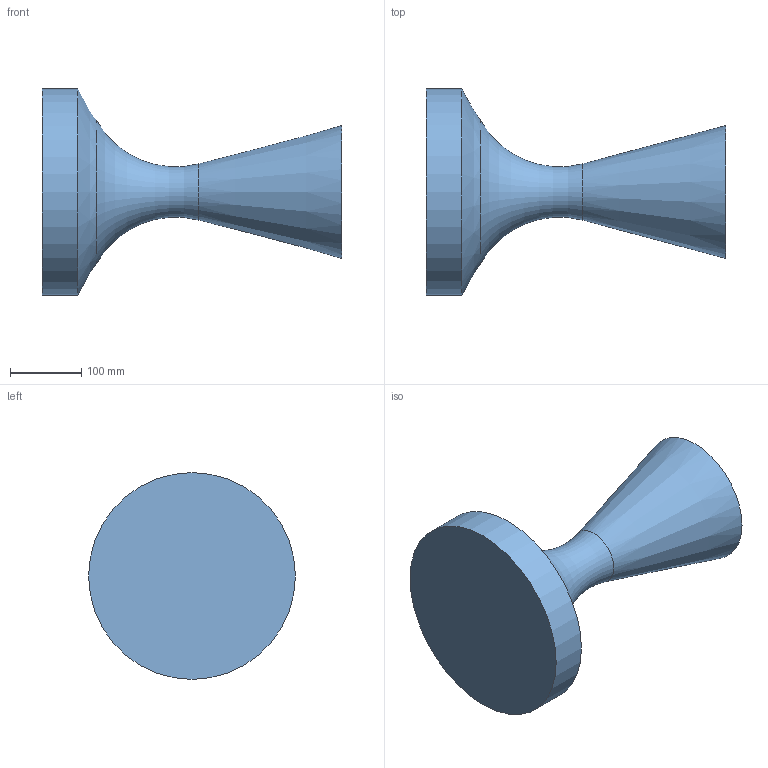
import cadquery as cq
import math

total_length = 420.37
flange_thickness = 50.0
flare_end = 76.5
neck_end = 220.0

flange_diameter = 290.0
flange_radius = flange_diameter / 2
end_radius = 93.2

cone_half_angle = math.radians(15.0)
flare_arc_radius = 360.0
neck_arc_radius = 127.0

cone_length = total_length - neck_end
cone_start_radius = end_radius - cone_length * math.tan(cone_half_angle)
arc_center_x = neck_end - neck_arc_radius * math.sin(cone_half_angle)
arc_center_r = cone_start_radius + neck_arc_radius * math.cos(cone_half_angle)


def neck_radius(x):
    """Radius of the concave neck at axial station x."""
    return arc_center_r - math.sqrt(neck_arc_radius**2 - (x - arc_center_x) ** 2)


def build_body():
    """Revolve flange, flare, neck and cone as one profile about the X axis."""
    flare_start = (flange_thickness, flange_radius)
    neck_start = (flare_end, neck_radius(flare_end))
    neck_lowest = (arc_center_x, neck_radius(arc_center_x))
    cone_start = (neck_end, cone_start_radius)

    profile = (
        cq.Workplane("XY")
        .lineTo(0, flange_radius)
        .lineTo(*flare_start)
        .radiusArc(neck_start, -flare_arc_radius)
        .threePointArc(neck_lowest, cone_start)
        .lineTo(total_length, end_radius)
        .lineTo(total_length, 0)
        .close()
    )
    return profile.revolve(360, (0, 0, 0), (1, 0, 0))


result = build_body()